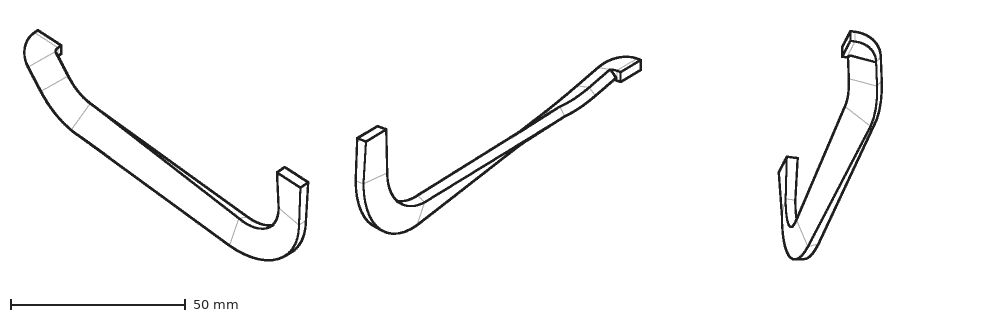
import cadquery as cq

V = cq.Vector
bar_width = 9.4
bar_thickness = 3.2

tip_length = 1.4
tip_width = V(bar_width, 0, 0)
tip_thickness = V(0, 0, -bar_thickness)
tip_bend_corner = V(0, 13.6, 19.2)
tip_end = (tip_bend_corner + V(0, tip_length, 0), tip_width, tip_thickness)
tip_bend_end = (tip_bend_corner, tip_width, tip_thickness)

short_run = V(-7.1, 2.1, 3.6)
short_corner = V(13.5, 2.2, 12.3)
short_width = V(3.7, 7.4, 3.5)
short_thickness = V(-0.8, 1.6, -2.5)
short_end = (short_corner + short_run, short_width, short_thickness)
short_start = (short_corner, short_width, short_thickness)

arm_left = (V(27.7, 0, 7.8), V(0.3, 7.5, 5.7), V(0, 1.9, -2.5))
arm_right = (V(89.4, 1.4, 1.0), V(0.6, 3.2, 8.8), V(0.6, 3.0, -1.0))

height = 38.8
length = 115.9
bend_top = 24.8
hook_bend_end = (V(length, 2.5, bend_top), V(-bar_width, 1.3, 0), V(0, 2.9, 0))
upright_end = (V(length, 3.1, height), V(-bar_width, 0, 0), V(0, bar_thickness, 0))


def corners(section):
    """Four corners of a section, in order around its outline."""
    corner, width, thickness = section
    return [corner, corner + width, corner + width + thickness, corner + thickness]


def line_rail(start, end):
    return cq.Edge.makeLine(start, end)


def arc_rail(tangent):
    """Rail maker for an arc that leaves its first point along the tangent."""
    def make(start, end):
        return cq.Edge.makeTangentArc(start, tangent, end)
    return make


def span_faces(first, second, make_rail):
    """Four ruled side faces joining two sections along their corner rails."""
    rails = [make_rail(a, b) for a, b in zip(corners(first), corners(second))]
    return [cq.Face.makeRuledSurface(rails[i - 1], rails[i]) for i in range(len(rails))]


def end_face(section):
    return cq.Face.makeFromWires(cq.Wire.makePolygon(corners(section), close=True))


spans = [
    (tip_end, tip_bend_end, line_rail),
    (tip_bend_end, short_end, arc_rail(V(0, -1, 0))),
    (short_end, short_start, line_rail),
    (short_start, arm_left, arc_rail(short_run * -1)),
    (arm_left, arm_right, line_rail),
    (hook_bend_end, arm_right, arc_rail(V(0, 0, -1))),
    (hook_bend_end, upright_end, line_rail),
]

faces = [end_face(tip_end), end_face(upright_end)]
for first, second, make_rail in spans:
    faces += span_faces(first, second, make_rail)

result = cq.Workplane(cq.Solid.makeSolid(cq.Shell.makeShell(faces)))